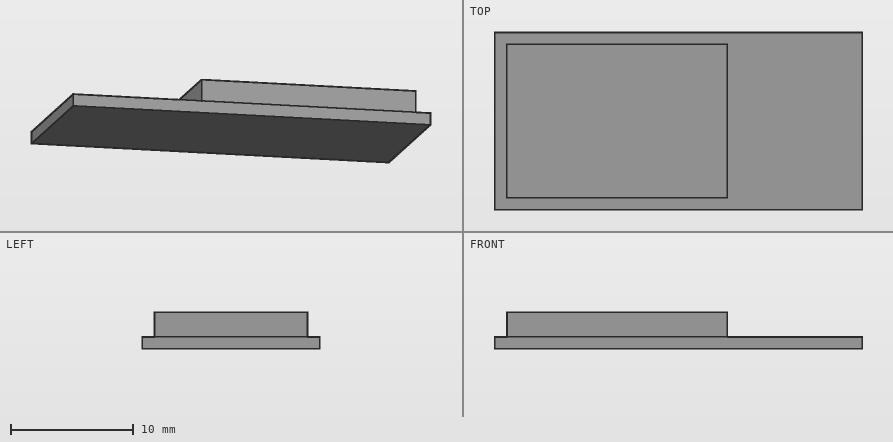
import cadquery as cq

board_length = 30.0
board_width = 14.5
board_thickness = 1.0

total_height = 3.0
cover_margin = 1.0
cover_length = 18.0
cover_width = board_width - 2 * cover_margin
cover_height = total_height - board_thickness
cover_center_x = -board_length / 2 + cover_margin + cover_length / 2


def make_board():
    """Flat board centred in X and Y with its underside at Z = 0."""
    return cq.Workplane("XY").box(
        board_length, board_width, board_thickness, centered=(True, True, False)
    )


def make_cover():
    """Plain block standing on top of the board near its -X end."""
    return (
        cq.Workplane("XY", origin=(cover_center_x, 0, board_thickness))
        .box(cover_length, cover_width, cover_height, centered=(True, True, False))
    )


result = make_board().union(make_cover())